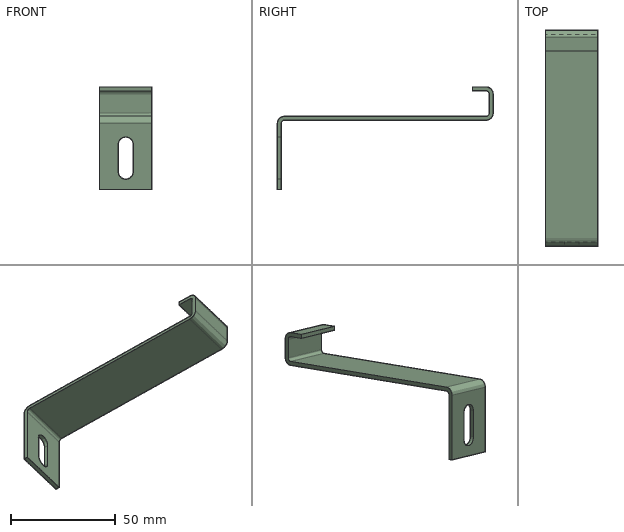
import cadquery as cq

width = 25.0
length = 103.0
height = 49.0
thickness = 2.0
bend_outer = 3.5
bend_inner = bend_outer - thickness
hook_height = 16.0
lip_length = 10.0
slot_width = 7.0
slot_length = 20.0
slot_height = 15.0

front = -length / 2
back = length / 2
strip_bottom = height - hook_height
strip_top = strip_bottom + thickness


def sheet_block(y_min, y_max, z_min, z_max):
    """Full-width block between two Y and two Z limits."""
    return cq.Workplane("XY").box(width, y_max - y_min, z_max - z_min).translate(
        (0, (y_min + y_max) / 2, (z_min + z_max) / 2)
    )


def rounded_corner(body, y, z, radius):
    """Round the edge along X that passes through (y, z)."""
    reach = thickness / 4
    corner = cq.selectors.BoxSelector(
        (-width, y - reach, z - reach), (width, y + reach, z + reach)
    )
    return body.edges("|X").edges(corner).fillet(radius)


def bent_strip():
    """Leg, long strip, hook back and lip joined with rounded bends."""
    leg = sheet_block(front, front + thickness, 0, strip_top)
    strip = sheet_block(front, back, strip_bottom, strip_top)
    hook_back = sheet_block(back - thickness, back, strip_bottom, height)
    lip = sheet_block(back - lip_length, back, height - thickness, height)
    body = leg.union(strip).union(hook_back).union(lip)

    bends = [
        (front, strip_top, 1, -1),
        (back, strip_bottom, -1, 1),
        (back, height, -1, -1),
    ]
    for y, z, y_side, z_side in bends:
        body = rounded_corner(body, y, z, bend_outer)
        inner_y = y + y_side * thickness
        inner_z = z + z_side * thickness
        body = rounded_corner(body, inner_y, inner_z, bend_inner)
    return body


def leg_slot():
    """Upright slot passing through the leg only."""
    return (
        cq.Workplane("XZ", origin=(0, front + thickness, slot_height))
        .slot2D(slot_length, slot_width, 90)
        .extrude(thickness)
    )


result = bent_strip().cut(leg_slot())